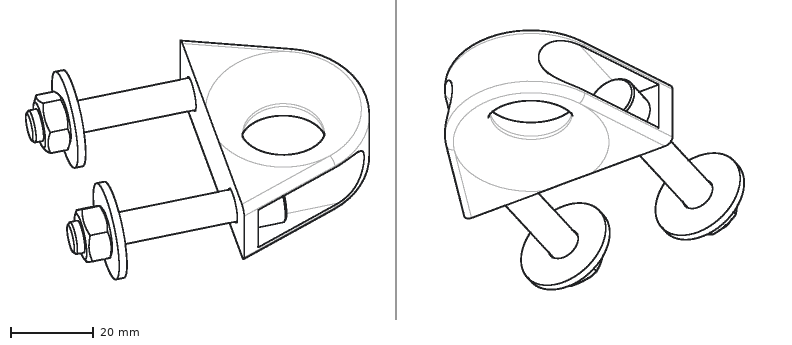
import cadquery as cq
import math

overall_length = 80
body_thickness = 19.0
outer_diameter = 42.0
outer_radius = outer_diameter / 2
base_width = 59.0
base_y = -18.0
edge_round = 2.0
throat_radius = 10.0
flare_radius = outer_radius - edge_round - throat_radius

screw_spacing = 38.0
screw_x = screw_spacing / 2
shank_diameter = 8
shank_hole_diameter = 8.5
head_diameter = 13.0
head_height = 8
head_chamfer = 0.5
pocket_width = 13.6
base_wall = 4
seat_y = base_y + base_wall
tip_y = outer_radius - overall_length
tip_chamfer = 0.6

washer_diameter = 24
washer_hole_diameter = 8.4
washer_thickness = 2.0
washer_y = -48
nut_height = 6.5
nut_across_flats = 13.0
nut_face_diameter = 11.4
nut_chamfer_angle = 30
nut_cone_margin = 0.8
left_nut_turn = 31
right_nut_turn = -12.5


def along_y(x, y):
    """Workplane at (x, y, 0) with its normal pointing to -Y."""
    return cq.Workplane("XZ", origin=(x, y, 0))


def make_body():
    """Rounded eye with straight flanks tangent to the round end."""
    half_base = base_width / 2
    corner_distance = math.hypot(half_base, base_y)
    corner_angle = math.atan2(base_y, half_base)
    tangent_angle = corner_angle + math.acos(outer_radius / corner_distance)
    tangent_x = outer_radius * math.cos(tangent_angle)
    tangent_y = outer_radius * math.sin(tangent_angle)
    body = (
        cq.Workplane("XY", origin=(0, 0, -body_thickness / 2))
        .moveTo(-half_base, base_y)
        .lineTo(half_base, base_y)
        .lineTo(tangent_x, tangent_y)
        .threePointArc((0, outer_radius), (-tangent_x, tangent_y))
        .close()
        .extrude(body_thickness)
    )
    rim = body.faces("|Z").edges(cq.selectors.BoxSelector(
        (-base_width, base_y + edge_round, -body_thickness),
        (base_width, outer_radius * 2, body_thickness),
    ))
    return rim.fillet(edge_round)


def make_eye_cutter():
    """Throat that flares as a quarter round toward both faces."""
    half = body_thickness / 2
    land = half - flare_radius
    rim_radius = throat_radius + flare_radius
    bend = flare_radius * math.sqrt(0.5)
    return (
        cq.Workplane("XZ")
        .moveTo(0, -half)
        .lineTo(rim_radius, -half)
        .threePointArc((rim_radius - bend, -land - bend), (throat_radius, -land))
        .lineTo(throat_radius, land)
        .threePointArc((rim_radius - bend, land + bend), (rim_radius, half))
        .lineTo(0, half)
        .close()
        .revolve(360, (0, 0, 0), (0, 1, 0))
    )


def make_pocket(side):
    """Round-bottomed channel open to the flank, with the shank hole below it."""
    length = outer_radius - seat_y
    channel = along_y(side * screw_x, outer_radius).circle(pocket_width / 2).extrude(length)
    opening = (
        along_y(side * (screw_x + pocket_width / 2), outer_radius)
        .rect(pocket_width, pocket_width)
        .extrude(length)
    )
    hole = along_y(side * screw_x, seat_y).circle(shank_hole_diameter / 2).extrude(base_wall)
    return channel.union(opening).union(hole)


def make_screw(x):
    head = (
        along_y(x, seat_y + head_height)
        .circle(head_diameter / 2)
        .extrude(head_height)
        .faces(">Y").chamfer(head_chamfer)
    )
    shank = (
        along_y(x, seat_y)
        .circle(shank_diameter / 2)
        .extrude(seat_y - tip_y)
        .faces("<Y").chamfer(tip_chamfer)
    )
    return head.union(shank)


def make_washer(x):
    return (
        along_y(x, washer_y)
        .circle(washer_diameter / 2)
        .circle(washer_hole_diameter / 2)
        .extrude(washer_thickness)
    )


def make_nut(x, turn):
    """Hexagon nut with conical chamfers, rotated by turn degrees about its axis."""
    corner_diameter = nut_across_flats / math.cos(math.radians(30))
    hexagon = (
        along_y(x, washer_y - washer_thickness)
        .transformed(rotate=(0, 0, turn))
        .polygon(6, corner_diameter)
        .extrude(nut_height)
    )
    cone_radius = corner_diameter / 2 + nut_cone_margin
    chamfer_width = cone_radius - nut_face_diameter / 2
    chamfer_drop = chamfer_width * math.tan(math.radians(nut_chamfer_angle))
    envelope = (
        along_y(x, washer_y - washer_thickness)
        .circle(cone_radius)
        .extrude(nut_height)
        .faces("|Y").edges().chamfer(chamfer_drop, chamfer_width)
    )
    return hexagon.intersect(envelope)


result = make_body().cut(make_eye_cutter())
for side, nut_turn in ((-1, left_nut_turn), (1, right_nut_turn)):
    x = side * screw_x
    result = result.cut(make_pocket(side))
    result = result.union(make_screw(x))
    result = result.union(make_nut(x, nut_turn))
    result = result.union(make_washer(x))